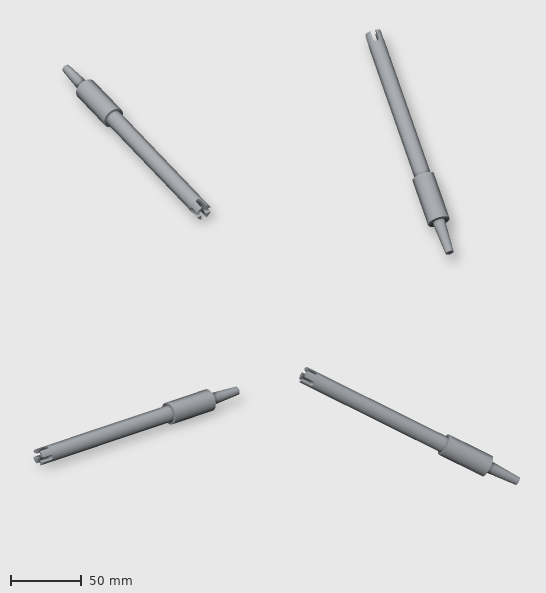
import cadquery as cq

total_length = 177.0

tip_length = 25.0
tip_end_diameter = 6.0
tip_root_diameter = 9.0

collar_length = 36.0
collar_diameter = 16.0

shaft_diameter = 12.0

slot_width = 4.0
slot_depth = 8.5

collar_start = tip_length
collar_end = collar_start + collar_length


def make_body():
    """Revolve the stepped half profile about the X axis."""
    return (
        cq.Workplane("XY")
        .lineTo(0, tip_end_diameter / 2)
        .lineTo(collar_start, tip_root_diameter / 2)
        .lineTo(collar_start, collar_diameter / 2)
        .lineTo(collar_end, collar_diameter / 2)
        .lineTo(collar_end, shaft_diameter / 2)
        .lineTo(total_length, shaft_diameter / 2)
        .lineTo(total_length, 0)
        .close()
        .revolve(360, (0, 0, 0), (1, 0, 0))
    )


def make_slot(plane):
    """Slot normal to the given plane, open at the shaft end, with a semicircular bottom."""
    half_width = slot_width / 2
    slot_bottom = total_length - slot_depth
    arc_center = slot_bottom + half_width
    return (
        cq.Workplane(plane)
        .moveTo(total_length, half_width)
        .lineTo(arc_center, half_width)
        .threePointArc((slot_bottom, 0), (arc_center, -half_width))
        .lineTo(total_length, -half_width)
        .close()
        .extrude(shaft_diameter / 2, both=True)
    )


result = make_body()
for slot_plane in ("XY", "XZ"):
    result = result.cut(make_slot(slot_plane))